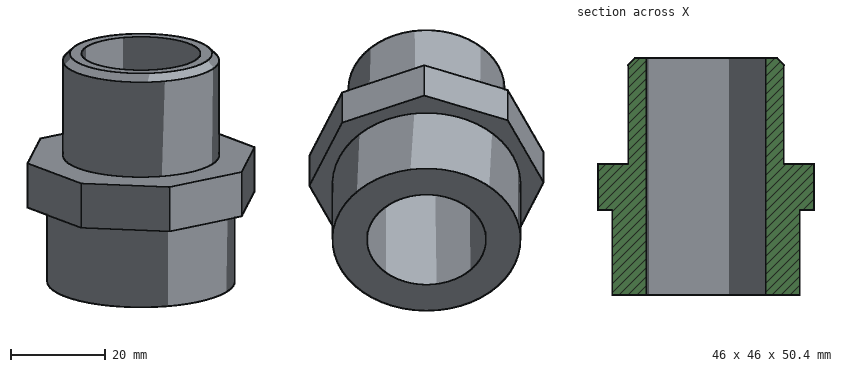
import cadquery as cq

total_height = 50.4
collar_sides = 8
collar_across_flats = 46.0
lower_diameter = 40.0
lower_height = 18.05
collar_height = 9.85
upper_diameter = 33.25
bore_diameter = 25.3
rim_chamfer = 1.5

collar_top = lower_height + collar_height
upper_height = total_height - collar_top


def make_lower_socket():
    """Wide plain cylinder standing on the XY plane."""
    return cq.Workplane("XY").circle(lower_diameter / 2).extrude(lower_height)


def make_octagonal_collar():
    """Wrench collar with flats facing the X and Y axes."""
    return (
        cq.Workplane("XY")
        .workplane(offset=lower_height)
        .polygon(collar_sides, collar_across_flats, circumscribed=True)
        .extrude(collar_height)
    )


def make_upper_spigot():
    """Narrow cylinder with a chamfered outer rim."""
    return (
        cq.Workplane("XY")
        .workplane(offset=collar_top)
        .circle(upper_diameter / 2)
        .extrude(upper_height)
        .faces(">Z")
        .chamfer(rim_chamfer)
    )


def make_bore():
    """Straight passage through the full height."""
    return cq.Workplane("XY").circle(bore_diameter / 2).extrude(total_height)


body = make_lower_socket().union(make_octagonal_collar()).union(make_upper_spigot())
result = body.cut(make_bore())